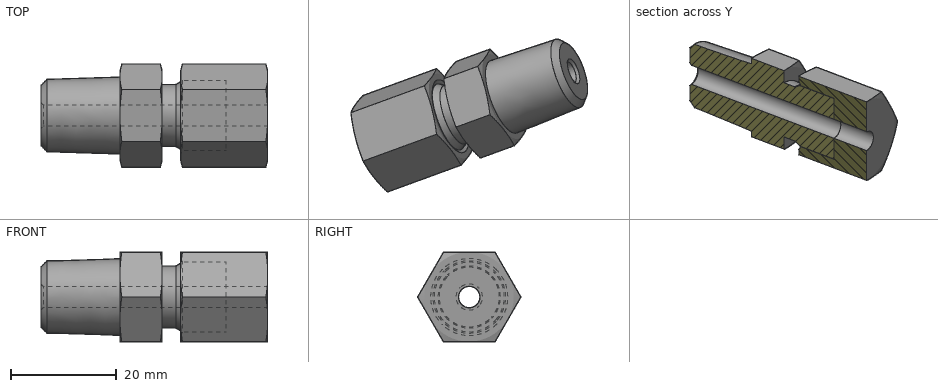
import cadquery as cq
import math

overall_length = 43.0
across_flats = 17.0
collar_start = 15.0
collar_end = 23.0
neck_end = 25.6
nut_start = 26.5

tip_diameter = 11.35
tip_chamfer_length = 1.2
taper_start_diameter = 13.75
taper_ratio = 1 / 16

neck_diameter = 11.8
spigot_diameter = 13.25
flare_angle = 30.0
spigot_depth = 8.6

nut_mouth_diameter = 14.6
nut_mouth_angle = 60.0

bore_diameter = 4.0
bore_mouth_diameter = 5.0

corner_angle = 15.0

across_corners = across_flats / math.cos(math.radians(30))
corner_length = (across_corners - across_flats) / 2 * math.tan(math.radians(corner_angle))
taper_length = collar_start - tip_chamfer_length
taper_end_diameter = taper_start_diameter + taper_length * taper_ratio
flare_length = (spigot_diameter - neck_diameter) / 2 / math.tan(math.radians(flare_angle))
flare_end = neck_end + flare_length
spigot_end = nut_start + spigot_depth
nut_mouth_depth = (nut_mouth_diameter - spigot_diameter) / 2 / math.tan(math.radians(nut_mouth_angle))
nut_mouth_end = nut_start + nut_mouth_depth
bore_mouth_depth = (bore_mouth_diameter - bore_diameter) / 2


def turned(profile):
    """Revolve a closed profile of (x, diameter) points about the X axis."""
    points = [(x, diameter / 2) for x, diameter in profile]
    return cq.Workplane("XY").polyline(points).close().revolve(360, (0, 0, 0), (1, 0, 0))


def rod(start, end, diameter):
    """Plain cylinder along X."""
    return cq.Workplane("YZ", origin=(start, 0, 0)).circle(diameter / 2).extrude(end - start)


def hexagon(start, end):
    """Hexagonal bar with flats facing +Z and -Z and conically turned corners at both ends."""
    bar = cq.Workplane("YZ", origin=(start, 0, 0)).polygon(6, across_corners).extrude(end - start)
    envelope = turned([
        (start, 0),
        (start, across_flats),
        (start + corner_length, across_corners),
        (end - corner_length, across_corners),
        (end, across_flats),
        (end, 0),
    ])
    return bar.intersect(envelope)


def make_fitting():
    """Tapered end, hexagonal collar, neck and spigot, bored right through."""
    tapered_end = turned([
        (0, 0),
        (0, tip_diameter),
        (tip_chamfer_length, taper_start_diameter),
        (collar_start, taper_end_diameter),
        (collar_start, 0),
    ])
    neck_and_spigot = turned([
        (collar_end, 0),
        (collar_end, neck_diameter),
        (neck_end, neck_diameter),
        (flare_end, spigot_diameter),
        (spigot_end, spigot_diameter),
        (spigot_end, 0),
    ])
    bore = rod(0, spigot_end, bore_diameter)
    bore_mouth = turned([
        (0, 0),
        (0, bore_mouth_diameter),
        (bore_mouth_depth, bore_diameter),
        (bore_mouth_depth, 0),
    ])
    blank = hexagon(collar_start, collar_end).union(tapered_end).union(neck_and_spigot)
    return blank.cut(bore).cut(bore_mouth)


def make_nut():
    """Hexagonal nut with a countersunk socket for the spigot and a passage that continues the bore."""
    socket = rod(nut_start, spigot_end, spigot_diameter)
    mouth = turned([
        (nut_start, 0),
        (nut_start, nut_mouth_diameter),
        (nut_mouth_end, spigot_diameter),
        (nut_mouth_end, 0),
    ])
    passage = rod(spigot_end, overall_length, bore_diameter)
    return hexagon(nut_start, overall_length).cut(socket).cut(mouth).cut(passage)


fitting = make_fitting()
nut = make_nut()

result = cq.Compound.makeCompound([fitting.val(), nut.val()])